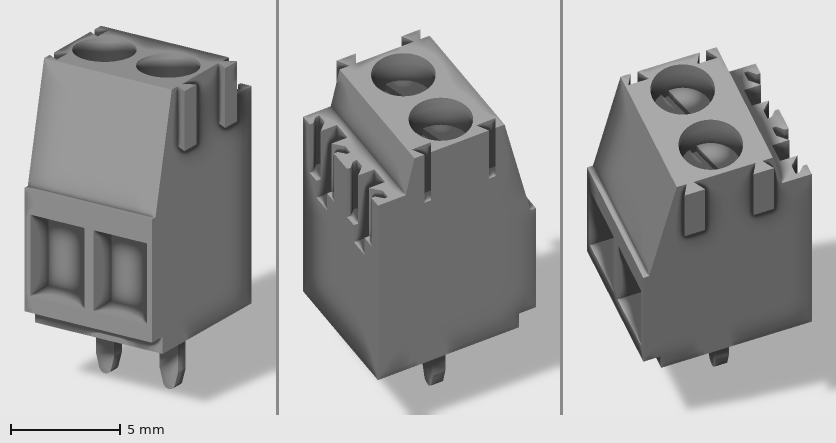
import cadquery as cq
import math


total_width = 7.6
total_height = 16.0
depth = 8.3
housing_height = 12.8
housing_width = 7.0

pole_count = 2
pole_pitch = 3.5
first_pole_x = (housing_width - (pole_count - 1) * pole_pitch) / 2
pole_positions = [first_pole_x + i * pole_pitch for i in range(pole_count)]

underside_front_y = 0.88
lip_bottom = 0.85
lip_top = 6.95
lip_depth = 0.29
top_front_y = 1.65
top_back_y = depth - 1.92
ledge_front_y = depth - 1.45
ledge_z = 10.74

entry_width = 2.96
entry_pitch = 3.44
first_entry_x = 1.82
entry_bottom = 1.68
entry_top = 5.7
entry_depth = 1.5

screw_y = 4.02
access_diameter = 2.96
screw_diameter = 2.78
screw_recess = 1.58
screw_height = 1.0
screw_slot_width = 0.4
screw_slot_depth = 0.4
screw_slot_angle = 15

dovetail_depth = total_width - housing_width
dovetail_neck = 0.34
dovetail_width = 1.0
dovetail_height = 2.96
dovetail_positions = (2.3, 5.7)

rear_slot_width = 1.0
rear_slot_length = 1.07
rear_slot_depth = 4.0
wing_depth = dovetail_height
wing_mouth_half = 1.14
wing_tip_half = 1.45
wing_foot_half = 0.96
wing_length = 0.69
wing_bend = 0.2
wing_tip_bend = 0.5
wing_root = 0.22

pin_y = 4.38
pin_width = 1.0
pin_thickness = 0.64
pin_length = total_height - housing_height
pin_straight = 2.25
pin_tip_radius = 0.34


def make_housing_blank():
    """Side profile in Y and Z, extruded over the housing width."""
    profile = [
        (underside_front_y, 0),
        (depth, 0),
        (depth, ledge_z),
        (ledge_front_y, ledge_z),
        (top_back_y, housing_height),
        (top_front_y, housing_height),
        (lip_depth, lip_top),
        (0, lip_top),
        (0, lip_bottom),
        (underside_front_y, lip_bottom),
    ]
    return cq.Workplane("YZ").polyline(profile).close().extrude(housing_width)


def make_dovetail(side_x, y):
    """Prism that widens toward +X, from the housing top down."""
    outline = [
        (side_x, y - dovetail_neck / 2),
        (side_x + dovetail_depth, y - dovetail_width / 2),
        (side_x + dovetail_depth, y + dovetail_width / 2),
        (side_x, y + dovetail_neck / 2),
    ]
    top = cq.Workplane("XY").workplane(offset=housing_height)
    return top.polyline(outline).close().extrude(-dovetail_height)


def make_wire_entry(x):
    entry_height = entry_top - entry_bottom
    corner = (x - entry_width / 2, 0, entry_bottom)
    return cq.Workplane("XY").box(entry_width, entry_depth, entry_height, centered=False).translate(corner)


def make_access_hole(x):
    """Hole from the top down to the seat of the screw."""
    top = cq.Workplane("XY").workplane(offset=housing_height)
    return top.center(x, screw_y).circle(access_diameter / 2).extrude(-(screw_recess + screw_height))


def make_rear_pocket(x):
    """Winged recess and the deeper central slot, both open to the rear face."""
    right_half = [
        (wing_mouth_half, 0),
        (wing_mouth_half, -wing_bend),
        (wing_tip_half, -wing_tip_bend),
        (wing_tip_half, -wing_length),
        (wing_foot_half, -wing_length),
        (rear_slot_width / 2, -wing_root),
    ]
    left_half = [(-px, py) for px, py in reversed(right_half)]
    ledge = cq.Workplane("XY", origin=(x, depth, ledge_z))
    wings = ledge.polyline(right_half + left_half).close().extrude(-wing_depth)
    slot = ledge.center(0, -rear_slot_length / 2).rect(rear_slot_width, rear_slot_length)
    return wings.union(slot.extrude(-rear_slot_depth))


def make_housing():
    body = make_housing_blank()
    for y in dovetail_positions:
        body = body.cut(make_dovetail(0, y))
        body = body.union(make_dovetail(housing_width, y))
    for i, x in enumerate(pole_positions):
        body = body.cut(make_wire_entry(first_entry_x + i * entry_pitch))
        body = body.cut(make_access_hole(x))
        body = body.cut(make_rear_pocket(x))
    return body


def make_screw(x):
    """Slotted screw head standing on the floor of its access hole."""
    seat_z = housing_height - screw_recess - screw_height
    head = cq.Workplane("XY").circle(screw_diameter / 2).extrude(screw_height)
    slot = (
        cq.Workplane("XY")
        .workplane(offset=screw_height)
        .rect(2 * screw_diameter, screw_slot_width)
        .extrude(-screw_slot_depth)
        .rotate((0, 0, 0), (0, 0, 1), screw_slot_angle)
    )
    return head.cut(slot).translate((x, screw_y, seat_z))


def make_pin(x):
    """Flat pin whose tapered sides run tangent into a round tip."""
    half_width = pin_width / 2
    tip_centre_z = -pin_length + pin_tip_radius
    drop = tip_centre_z + pin_straight
    corner_distance = math.hypot(half_width, drop)
    tangent_angle = math.atan2(-drop, half_width) - math.acos(pin_tip_radius / corner_distance)
    tangent_x = pin_tip_radius * math.cos(tangent_angle)
    tangent_z = tip_centre_z + pin_tip_radius * math.sin(tangent_angle)
    return (
        cq.Workplane("XZ", origin=(x, pin_y + pin_thickness / 2, 0))
        .moveTo(-half_width, 0)
        .lineTo(half_width, 0)
        .lineTo(half_width, -pin_straight)
        .lineTo(tangent_x, tangent_z)
        .threePointArc((0, -pin_length), (-tangent_x, tangent_z))
        .lineTo(-half_width, -pin_straight)
        .close()
        .extrude(pin_thickness)
    )


housing = make_housing()
screws = [make_screw(x) for x in pole_positions]
pins = [make_pin(x) for x in pole_positions]

result = cq.Compound.makeCompound(
    [housing.val(), *[screw.val() for screw in screws], *[pin.val() for pin in pins]]
)